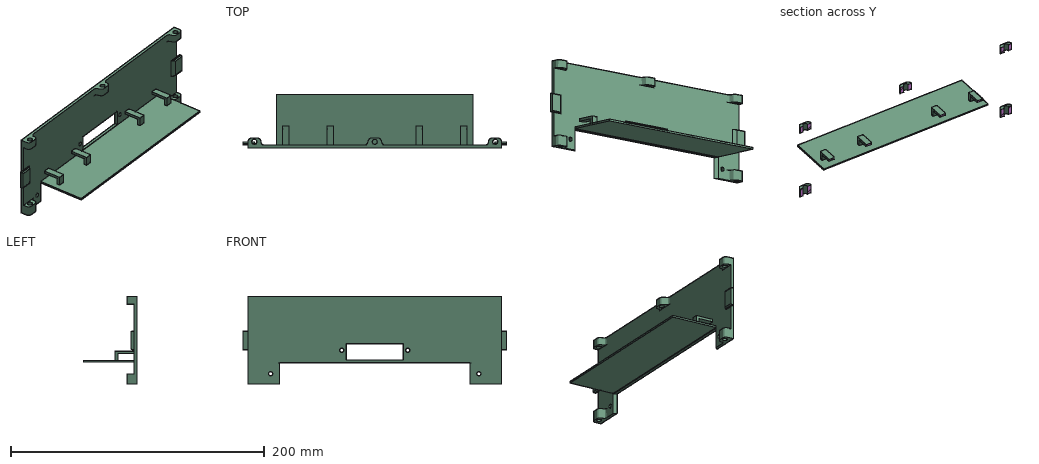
import cadquery as cq
import math

overall_length = 208.0
overall_depth = 42.5
panel_length = 200.0
panel_height = 69.0
panel_thick = 2.5
panel_end = panel_length / 2

leg_width = 25.0
leg_height = 16.6

window_width = 44.7
window_height = 12.5
window_base = 19.1
screw_diameter = 3.1
window_screw_x = 26.0
window_screw_z = 26.6
leg_screw_x = 82.2
leg_screw_z = 8.1

boss_depth = 8.1
top_boss_height = 6.2
bottom_boss_height = 8.1
boss_hole_diameter = 4.0
boss_hole_y = 5.0
boss_corner_radius = 3.0
boss_foot_radius = 2.5
end_boss_width = 10.5
end_boss_hole_inset = 5.0
middle_boss_tip_width = 9.2
middle_boss_foot_width = 12.0
boss_strip = 3.1

shelf_length = 155.2
shelf_thick = 1.5
shelf_base = 17.3
bracket_width = 5.2
bracket_reach = 17.5
bracket_top = 26.0
bracket_arm_thick = 2.0
bracket_leg_thick = 2.5
bracket_positions = (35.0, 70.0)

tab_base = 27.0
tab_height = 14.8
tab_rear = 5.0
tab_inner_length = 11.2
tab_bevel_depth = 1.2
tab_bevel_angle = 25.0


def block(x_min, x_max, y_min, y_max, z_min, z_max):
    size = (x_max - x_min, y_max - y_min, z_max - z_min)
    return cq.Workplane("XY").box(*size, centered=False).translate((x_min, y_min, z_min))


def both_ends(right_side):
    """Return a right-hand feature joined with its mirror image at the left."""
    return right_side.union(right_side.mirror("YZ"))


def make_panel():
    """Flat panel; the notch sides open towards the rear at 45 degrees."""
    notch_half = panel_end - leg_width
    panel = block(-panel_end, panel_end, 0, panel_thick, 0, panel_height)
    rear_half = notch_half + panel_thick
    notch = (
        cq.Workplane("XY")
        .polyline([(-notch_half, 0), (notch_half, 0), (rear_half, panel_thick), (-rear_half, panel_thick)])
        .close()
        .extrude(leg_height)
    )
    window = block(
        -window_width / 2, window_width / 2, 0, panel_thick, window_base, window_base + window_height
    )
    screw_points = [
        (side * x, z)
        for side in (-1, 1)
        for x, z in ((window_screw_x, window_screw_z), (leg_screw_x, leg_screw_z))
    ]
    screw_holes = (
        cq.Workplane("XZ").pushPoints(screw_points).circle(screw_diameter / 2).extrude(-panel_thick)
    )
    return panel.cut(notch).cut(window).cut(screw_holes)


def boss_body(profile, feet, base, height):
    """Extrude a boss outline, rounding its rear corners and the feet where it meets the panel."""
    body = cq.Workplane("XY", origin=(0, 0, base)).polyline(profile).close().extrude(height)
    body = body.edges("|Z").edges(">Y").fillet(boss_corner_radius)
    for foot_x in feet:
        foot_edge = cq.selectors.NearestToPointSelector((foot_x, panel_thick, base + height / 2))
        body = body.edges("|Z").edges(foot_edge).fillet(boss_foot_radius)
    return body


def make_end_boss(base, height):
    """Boss flush with the right-hand end of the panel."""
    flank = panel_end - end_boss_width
    foot_end = flank - boss_strip
    profile = [
        (foot_end, 0),
        (panel_end, 0),
        (panel_end, boss_depth),
        (flank, boss_depth),
        (flank, panel_thick),
        (foot_end, panel_thick),
    ]
    return boss_body(profile, [flank], base, height)


def make_middle_boss():
    """Boss with sloping flanks at the middle of the top edge."""
    tip = middle_boss_tip_width / 2
    foot = middle_boss_foot_width / 2
    foot_end = foot + boss_strip
    profile = [
        (-foot_end, 0),
        (foot_end, 0),
        (foot_end, panel_thick),
        (foot, panel_thick),
        (tip, boss_depth),
        (-tip, boss_depth),
        (-foot, panel_thick),
        (-foot_end, panel_thick),
    ]
    return boss_body(profile, [-foot, foot], panel_height - top_boss_height, top_boss_height)


def make_boss_holes():
    hole_x = panel_end - end_boss_hole_inset
    radius = boss_hole_diameter / 2
    top_boss_base = panel_height - top_boss_height
    top_holes = (
        cq.Workplane("XY", origin=(0, boss_hole_y, top_boss_base))
        .pushPoints([(-hole_x, 0), (0, 0), (hole_x, 0)])
        .circle(radius)
        .extrude(top_boss_height)
    )
    bottom_holes = (
        cq.Workplane("XY", origin=(0, boss_hole_y, 0))
        .pushPoints([(-hole_x, 0), (hole_x, 0)])
        .circle(radius)
        .extrude(bottom_boss_height)
    )
    return top_holes.union(bottom_holes)


def make_shelf():
    half_length = shelf_length / 2
    return block(-half_length, half_length, panel_thick, overall_depth, shelf_base, shelf_base + shelf_thick)


def make_bracket(center_x):
    """L-shaped bracket: an arm from the panel and a leg down to the shelf."""
    profile = [
        (panel_thick, bracket_top),
        (bracket_reach, bracket_top),
        (bracket_reach, shelf_base),
        (bracket_reach - bracket_leg_thick, shelf_base),
        (bracket_reach - bracket_leg_thick, bracket_top - bracket_arm_thick),
        (panel_thick, bracket_top - bracket_arm_thick),
    ]
    return (
        cq.Workplane("YZ", origin=(center_x - bracket_width / 2, 0, 0))
        .polyline(profile)
        .close()
        .extrude(bracket_width)
    )


def make_tab():
    """Right-hand tab with a 45 degree inner end and slightly bevelled upper and lower rear edges."""
    outer = overall_length / 2
    inner = outer - tab_inner_length
    tab_top = tab_base + tab_height
    taper = tab_bevel_depth * math.tan(math.radians(tab_bevel_angle))
    side_profile = [
        (panel_thick, tab_base),
        (tab_rear - tab_bevel_depth, tab_base),
        (tab_rear, tab_base + taper),
        (tab_rear, tab_top - taper),
        (tab_rear - tab_bevel_depth, tab_top),
        (panel_thick, tab_top),
    ]
    plan_profile = [
        (inner, panel_thick),
        (outer, panel_thick),
        (outer, tab_rear),
        (inner + tab_rear - panel_thick, tab_rear),
    ]
    slab = cq.Workplane("YZ", origin=(inner, 0, 0)).polyline(side_profile).close().extrude(tab_inner_length)
    plan = cq.Workplane("XY", origin=(0, 0, tab_base)).polyline(plan_profile).close().extrude(tab_height)
    return slab.intersect(plan)


result = make_panel()
result = result.union(both_ends(make_end_boss(panel_height - top_boss_height, top_boss_height)))
result = result.union(both_ends(make_end_boss(0, bottom_boss_height)))
result = result.union(make_middle_boss()).cut(make_boss_holes())
result = result.union(make_shelf())
for position in bracket_positions:
    result = result.union(both_ends(make_bracket(position)))
result = result.union(both_ends(make_tab()))